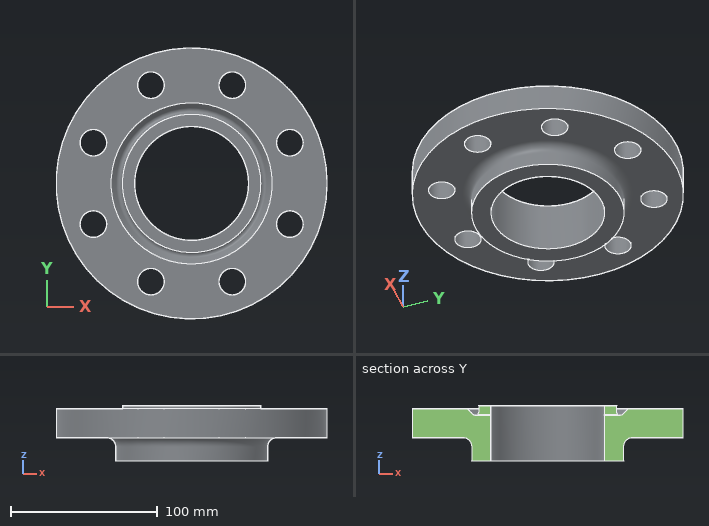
import cadquery as cq
import math

flange_diameter = 185.0
flange_thickness = 20.0
hub_diameter = 104.0
hub_height = 16.0
hub_fillet = 6.0
spigot_diameter = 94.4
spigot_height = 2.0
bore_diameter = 77.5
groove_diameter = 109.9
groove_fillet = 2.4
groove_slope = 45.0
hole_diameter = 18.0
bolt_circle_diameter = 145.0
hole_count = 8

flange_top = flange_thickness
spigot_top = flange_top + spigot_height

flange_radius = flange_diameter / 2
hub_radius = hub_diameter / 2
spigot_radius = spigot_diameter / 2
bore_radius = bore_diameter / 2
groove_radius = groove_diameter / 2
arc_middle = 1 - math.sqrt(0.5)

slope_angle = math.radians(groove_slope)
fillet_center_radius = spigot_radius + groove_fillet
slope_end_radius = fillet_center_radius + groove_fillet * math.sin(slope_angle)
slope_end_height = flange_top - (groove_radius - slope_end_radius) * math.tan(slope_angle)
fillet_center_height = slope_end_height + groove_fillet * math.cos(slope_angle)


def make_body():
    """Revolve the half section of flange, hub, spigot, groove and bore."""
    profile = (
        cq.Workplane("XZ")
        .moveTo(bore_radius, -hub_height)
        .lineTo(hub_radius, -hub_height)
        .lineTo(hub_radius, -hub_fillet)
        .threePointArc(
            (hub_radius + arc_middle * hub_fillet, -arc_middle * hub_fillet),
            (hub_radius + hub_fillet, 0),
        )
        .lineTo(flange_radius, 0)
        .lineTo(flange_radius, flange_top)
        .lineTo(groove_radius, flange_top)
        .lineTo(slope_end_radius, slope_end_height)
        .threePointArc(
            (fillet_center_radius, fillet_center_height - groove_fillet),
            (spigot_radius, fillet_center_height),
        )
        .lineTo(spigot_radius, spigot_top)
        .lineTo(bore_radius, spigot_top)
        .close()
    )
    return profile.revolve(360, (0, 0, 0), (0, 1, 0))


def make_bolt_holes():
    """Through holes on the bolt circle, straddling the X and Y axes."""
    half_pitch = 180 / hole_count
    return (
        cq.Workplane("XY")
        .polarArray(bolt_circle_diameter / 2, half_pitch, 360, hole_count)
        .circle(hole_diameter / 2)
        .extrude(flange_thickness)
    )


result = make_body().cut(make_bolt_holes())